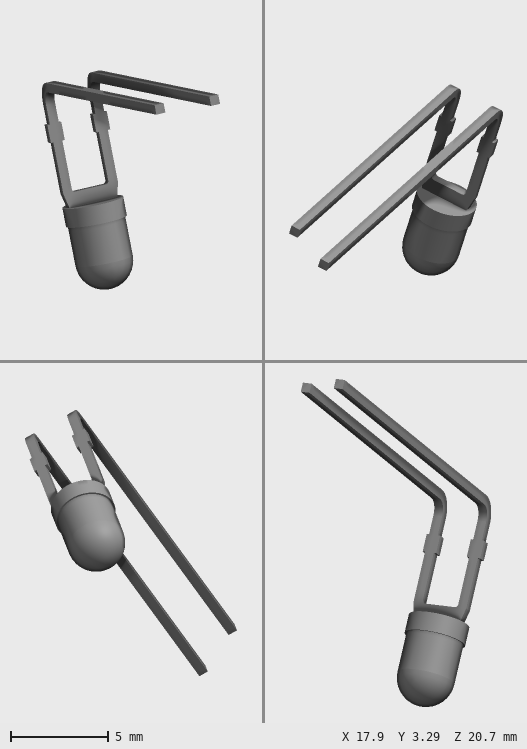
import cadquery as cq

FLANGE_DIAMETER = 3.2
FLANGE_HEIGHT = 1.0
LENS_DIAMETER = 3.0
LENS_RADIUS = LENS_DIAMETER / 2
DOME_CENTER_Z = -3.09

LEAD_SIZE = 0.5
LEAD_SPACING = 2.5
LEAD_OFFSET_Y = -0.05
BEND_RADIUS = 0.95
BEND_CENTER_Z = 5.5
LONG_LEAD_REACH = 20.92
SHORT_LEAD_REACH = 19.36
LEAD_SKEW = -0.4

STOP_WIDTH = 0.77
STOP_BOTTOM = 3.5
STOP_TOP = 4.45

BRIDGE_HEIGHT = 0.77
BRIDGE_TAPER = 0.19
BRIDGE_FILLET = 0.17

PART_TILT = -31.3


def make_body():
    """Flanged cylinder ending in a hemispherical dome."""
    flange = cq.Workplane("XY").circle(FLANGE_DIAMETER / 2).extrude(-FLANGE_HEIGHT)
    lens = cq.Workplane("XY").circle(LENS_RADIUS).extrude(DOME_CENTER_Z)
    dome = cq.Workplane("XY").sphere(LENS_RADIUS).translate((0, 0, DOME_CENTER_Z))
    return flange.union(lens).union(dome)


def make_lead(y_center, reach):
    """Square lead rising from the bridge, bending 90 degrees and running along X."""
    half = LEAD_SIZE / 2
    outer = BEND_RADIUS + half
    inner = BEND_RADIUS - half
    lead = (
        cq.Workplane("XZ")
        .moveTo(-half, BRIDGE_HEIGHT)
        .lineTo(-half, BEND_CENTER_Z)
        .radiusArc((BEND_RADIUS, BEND_CENTER_Z + outer), outer)
        .lineTo(reach, BEND_CENTER_Z + outer)
        .lineTo(reach, BEND_CENTER_Z + inner)
        .lineTo(BEND_RADIUS, BEND_CENTER_Z + inner)
        .radiusArc((half, BEND_CENTER_Z), -inner)
        .lineTo(half, BRIDGE_HEIGHT)
        .close()
        .extrude(half, both=True)
    )
    stop = cq.Workplane("XY").box(LEAD_SIZE, STOP_WIDTH, STOP_TOP - STOP_BOTTOM)
    stop = stop.translate((0, 0, (STOP_TOP + STOP_BOTTOM) / 2))
    return lead.union(stop).translate((0, y_center, 0))


def make_bridge():
    """Tapered plate between the leads, with filleted inner corners."""
    outer_y = (LEAD_SPACING + LEAD_SIZE) / 2
    inner_y = (LEAD_SPACING - LEAD_SIZE) / 2
    base_y = outer_y - BRIDGE_TAPER
    fillet_top = BRIDGE_HEIGHT + BRIDGE_FILLET
    return (
        cq.Workplane("YZ")
        .moveTo(-base_y, 0)
        .lineTo(base_y, 0)
        .lineTo(outer_y, BRIDGE_HEIGHT)
        .lineTo(outer_y, fillet_top)
        .lineTo(inner_y, fillet_top)
        .radiusArc((inner_y - BRIDGE_FILLET, BRIDGE_HEIGHT), BRIDGE_FILLET)
        .lineTo(BRIDGE_FILLET - inner_y, BRIDGE_HEIGHT)
        .radiusArc((-inner_y, fillet_top), BRIDGE_FILLET)
        .lineTo(-outer_y, fillet_top)
        .lineTo(-outer_y, BRIDGE_HEIGHT)
        .close()
        .extrude(LEAD_SIZE / 2, both=True)
    )


def make_lead_frame():
    """Both leads and their bridge, skewed slightly about the body axis."""
    frame = make_bridge()
    for side, reach in ((1, LONG_LEAD_REACH), (-1, SHORT_LEAD_REACH)):
        frame = frame.union(make_lead(side * LEAD_SPACING / 2, reach))
    frame = frame.translate((0, LEAD_OFFSET_Y, 0))
    return frame.rotate((0, 0, 0), (0, 0, 1), LEAD_SKEW)


part = make_body().union(make_lead_frame())
result = part.rotate((0, 0, 0), (0, 1, 0), PART_TILT)